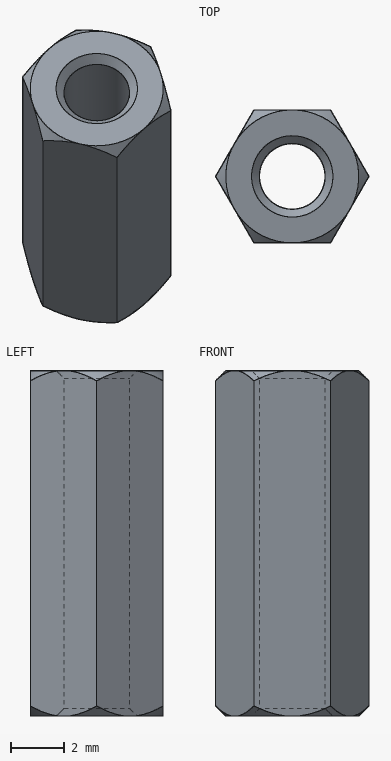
import cadquery as cq
import math

across_flats = 5.0
length = 13.0
bore_diameter = 2.46
countersink_depth = 0.3

flat_radius = across_flats / 2
corner_radius = flat_radius / math.cos(math.radians(30))
chamfer_size = corner_radius - flat_radius


def hexagonal_bar():
    """Hexagonal prism with its corners on the X axis, standing on Z = 0."""
    return cq.Workplane("XY").polygon(6, 2 * corner_radius).extrude(length)


def chamfer_envelope():
    """Chamfered cylinder that trims the hexagon corners at both ends."""
    cylinder = cq.Workplane("XY").circle(corner_radius).extrude(length)
    return cylinder.faces("<Z or >Z").chamfer(chamfer_size)


def countersunk_bore():
    """Solid of the through bore with a conical countersink at each end."""
    bore_radius = bore_diameter / 2
    countersink_radius = bore_radius + countersink_depth
    half_section = [
        (0, 0),
        (countersink_radius, 0),
        (bore_radius, countersink_depth),
        (bore_radius, length - countersink_depth),
        (countersink_radius, length),
        (0, length),
    ]
    profile = cq.Workplane("XZ").polyline(half_section).close()
    return profile.revolve(360, (0, 0), (0, 1))


result = hexagonal_bar().intersect(chamfer_envelope()).cut(countersunk_bore())